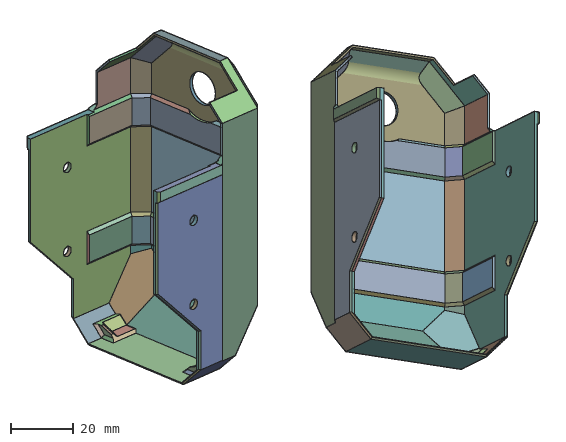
import cadquery as cq
import math

total_depth = 52.2
total_height = 105.5

body_half_width = 28.5
top_corner = 13.5
bottom_corner = 7.2
shell_depth = 21.3
side_bevel = 5.1
bottom_bevel = 15.2
wall = 0.75
back_wall = 1.3
cavity_side_bevel = 4.7
cavity_bottom_bevel = 14.8
cavity_half_width = body_half_width - wall
top_fillet = 5.0

notch_depth = 8.5
notch_bottom = 97.7

hang_hole_diameter = 11.5
hang_hole_z = 88.2
rib_clearance_radius = 11.3

widening = 0.69
rim_half_width = body_half_width + widening
rim_depth = 32.5
flange_top = 78.3
slope_start = 41.4
slope_end = slope_start - (total_depth - rim_depth)
rim_chamfer = 0.5

lip_half_width = 30.1
lip_bottom = 74.8
lip_rise = 2.1
lip_undercut = 0.6
lip_top = flange_top + lip_rise

screw_hole_diameter = 3.5
screw_hole_depth = 35.3
screw_hole_heights = (32.4, 62.4)

raise_height = 1.0
embed = 0.4
rib_end_depth = 26.2
pad_end_depth = 26.5
rib_bottoms = (24.7, 67.0)
rib_width = 11.8
pad_leg = 5.4
ridge_length = 2.0

overlap = 1.1
tolerance = 0.01


def y_at(depth):
    """Y coordinate at a depth measured forward from the back plane."""
    return total_depth - depth


def octagon(half_width, bottom_leg):
    """Closed front outline with cut corners."""
    top_x = half_width - top_corner
    bottom_x = half_width - bottom_leg
    top_z = total_height - top_corner
    return [
        (-bottom_x, 0), (bottom_x, 0), (half_width, bottom_leg), (half_width, top_z),
        (top_x, total_height), (-top_x, total_height), (-half_width, top_z), (-half_width, bottom_leg),
    ]


def bevelled_tray(inset, start, end, upper_bevel, lower_bevel):
    """Octagonal prism with 45 degree bevels around its back face."""
    block = cq.Workplane("XZ", origin=(0, y_at(start), 0))
    block = block.polyline(octagon(body_half_width, bottom_corner)).close()
    if inset:
        block = block.offset2D(-inset, "intersection")
    block = block.extrude(end - start)
    low_end = total_height / 4
    low_edges = block.faces(">Y").edges().filter(lambda edge: edge.Center().z < low_end)
    block = low_edges.chamfer(lower_bevel)
    high_edges = block.faces(">Y").edges().filter(lambda edge: edge.Center().z > low_end)
    return high_edges.chamfer(upper_bevel)


def make_cavity():
    """Solid that hollows the tray; the bevel at its top end is rounded into the back wall."""
    cavity = bevelled_tray(wall, back_wall, total_depth + overlap, cavity_side_bevel, cavity_bottom_bevel)
    return cavity.faces(">Y").edges(">Z").fillet(top_fillet)


def make_rim():
    """Widened lower part with both side flanges, still solid inside."""
    outline = octagon(rim_half_width, bottom_corner + widening)
    block = cq.Workplane("XZ", origin=(0, y_at(shell_depth), 0)).polyline(outline).close()
    block = block.extrude(y_at(shell_depth))
    rim_y = y_at(rim_depth)
    profile = [
        (y_at(shell_depth), 0), (rim_y, 0), (rim_y, slope_end), (0, slope_start),
        (0, flange_top), (y_at(shell_depth), flange_top),
    ]
    block = block.intersect(cq.Workplane("YZ").polyline(profile).close().extrude(rim_half_width, both=True))

    def on_front_outline(edge):
        center = edge.Center()
        on_side = rim_half_width - abs(center.x) < tolerance and center.z < flange_top - tolerance
        on_bottom = abs(center.y - rim_y) < tolerance and center.z < bottom_corner
        return center.y < rim_y + tolerance and (on_side or on_bottom)

    block = block.edges().filter(on_front_outline).chamfer(rim_chamfer)
    return block.faces("<X or >X").edges(">Y").chamfer(widening)


def make_lip():
    """Lip outside the +X flange with bevelled edges and a ramp onto the shell rim."""
    back_y = y_at(shell_depth)
    lip_step = lip_half_width - body_half_width
    plan = [
        (cavity_half_width, back_y), (body_half_width, back_y), (lip_half_width, back_y - lip_step),
        (lip_half_width, widening), (rim_half_width, 0), (cavity_half_width, 0),
    ]
    side = [(back_y, 0), (back_y, lip_top), (back_y - lip_rise, flange_top), (0, flange_top), (0, 0)]
    front = [
        (cavity_half_width, lip_bottom - lip_undercut), (rim_half_width, lip_bottom - lip_undercut),
        (lip_half_width, lip_bottom), (lip_half_width, lip_top), (cavity_half_width, lip_top),
    ]
    lip = cq.Workplane("XY").polyline(plan).close().extrude(total_height)
    lip = lip.intersect(cq.Workplane("YZ").polyline(side).close().extrude(lip_half_width))
    return lip.intersect(cq.Workplane("XZ").polyline(front).close().extrude(-total_depth))


def offset_path(path, level):
    """Open path moved to its right by level, with both ends drawn in by the same amount."""
    directions = []
    for (x0, y0), (x1, y1) in zip(path, path[1:]):
        length = math.hypot(x1 - x0, y1 - y0)
        directions.append(((x1 - x0) / length, (y1 - y0) / length))
    moved = []
    for index, (x, y) in enumerate(path):
        before = directions[max(index - 1, 0)]
        after = directions[min(index, len(directions) - 1)]
        scale = level / (1 + before[0] * after[0] + before[1] * after[1])
        shift = [scale * (before[1] + after[1]), -scale * (before[0] + after[0])]
        if index == 0:
            shift = [shift[0] + level * after[0], shift[1] + level * after[1]]
        elif index == len(path) - 1:
            shift = [shift[0] - level * before[0], shift[1] - level * before[1]]
        moved.append((x + shift[0], y + shift[1]))
    return moved


def band_section(path, level, straight_top=False):
    """Section of a band lying along a wall path; its ends slope at 45 degrees."""
    top = offset_path(path, level)
    if straight_top:
        top = [top[0], top[-1]]
    return offset_path(path, -embed) + top[::-1]


def prism(plane, origin, section, length):
    return cq.Workplane(plane, origin=origin).polyline(section).close().extrude(length)


def ramp(plane, origin, first, last, length):
    """Straight-sided transition between two sections with matching corners."""
    block = cq.Workplane(plane, origin=origin).polyline(first).close()
    return block.workplane(offset=length).polyline(last).close().loft(ruled=True)


def make_rib(bottom):
    """U-shaped rib along the back wall and both side walls."""
    end_y = y_at(rib_end_depth)
    path_end_y = end_y - raise_height
    bevel_y = y_at(back_wall + cavity_side_bevel)
    bevel_x = cavity_half_width - cavity_side_bevel
    path = [
        (-cavity_half_width, path_end_y), (-cavity_half_width, bevel_y), (-bevel_x, y_at(back_wall)),
        (bevel_x, y_at(back_wall)), (cavity_half_width, bevel_y), (cavity_half_width, path_end_y),
    ]
    low = band_section(path, 0)
    high = band_section(path, raise_height)
    top = bottom + rib_width
    rib = prism("XY", (0, 0, bottom + raise_height), high, rib_width - 2 * raise_height)
    rib = rib.union(ramp("XY", (0, 0, bottom), low, high, raise_height))
    rib = rib.union(ramp("XY", (0, 0, top - raise_height), high, low, raise_height))
    back_y = y_at(shell_depth)
    limits = [
        (end_y, 0), (total_depth, 0), (total_depth, total_height), (back_y, total_height), (back_y, lip_top),
        (back_y - lip_rise, flange_top), (end_y, flange_top),
    ]
    limit_block = cq.Workplane("YZ").polyline(limits).close().extrude(body_half_width, both=True)
    return rib.intersect(limit_block)


def make_pad():
    """Pad around the +X bottom corner, with a retaining ridge near its front end."""
    corner_x = body_half_width - bottom_corner + wall - wall * math.sqrt(2)
    diagonal = pad_leg / math.sqrt(2)
    path = [(corner_x + diagonal, wall + diagonal), (corner_x, wall), (corner_x - pad_leg, wall)]
    low = band_section(path, 0)
    high = band_section(path, raise_height)
    front = pad_end_depth - raise_height
    pad = prism("XZ", (0, y_at(bottom_bevel), 0), high, front - bottom_bevel)
    pad = pad.union(ramp("XZ", (0, y_at(front), 0), high, low, raise_height))

    ridge_low = band_section(path, raise_height, straight_top=True)
    ridge_high = band_section(path, 2 * raise_height, straight_top=True)
    ridge_start = front - ridge_length
    crest_start = ridge_start + raise_height
    pad = pad.union(ramp("XZ", (0, y_at(ridge_start), 0), ridge_low, ridge_high, raise_height))
    return pad.union(prism("XZ", (0, y_at(crest_start), 0), ridge_high, front - crest_start))


def make_notch():
    """Cutter that lowers the top rim; its ends run square to the slanted walls."""
    outer_x = body_half_width + total_height - top_corner - notch_bottom
    low_x = outer_x - 2 * wall
    high_x = outer_x + top_corner
    low_z = notch_bottom - 2 * wall
    high_z = notch_bottom + top_corner
    outline = [(-low_x, low_z), (low_x, low_z), (high_x, high_z), (-high_x, high_z)]
    return prism("XZ", (0, y_at(notch_depth), 0), outline, y_at(notch_depth))


def cylinder_y(radius, z, length):
    """Cylinder along Y, from the back plane forward."""
    return cq.Workplane("XZ", origin=(0, total_depth, z)).circle(radius).extrude(length)


result = bevelled_tray(0, 0, shell_depth, side_bevel, bottom_bevel)
result = result.union(make_rim())
result = result.cut(make_cavity())
lip = make_lip()
result = result.union(lip).union(lip.mirror("YZ"))

rib_clearance = cylinder_y(rib_clearance_radius, hang_hole_z, shell_depth)
for rib_bottom in rib_bottoms:
    result = result.union(make_rib(rib_bottom).cut(rib_clearance))
pad = make_pad()
result = result.union(pad).union(pad.mirror("YZ"))

result = result.cut(make_notch())
result = result.cut(cylinder_y(hang_hole_diameter / 2, hang_hole_z, shell_depth))
screw_points = [(y_at(screw_hole_depth), height) for height in screw_hole_heights]
screw_holes = cq.Workplane("YZ").pushPoints(screw_points).circle(screw_hole_diameter / 2)
result = result.cut(screw_holes.extrude(lip_half_width, both=True))